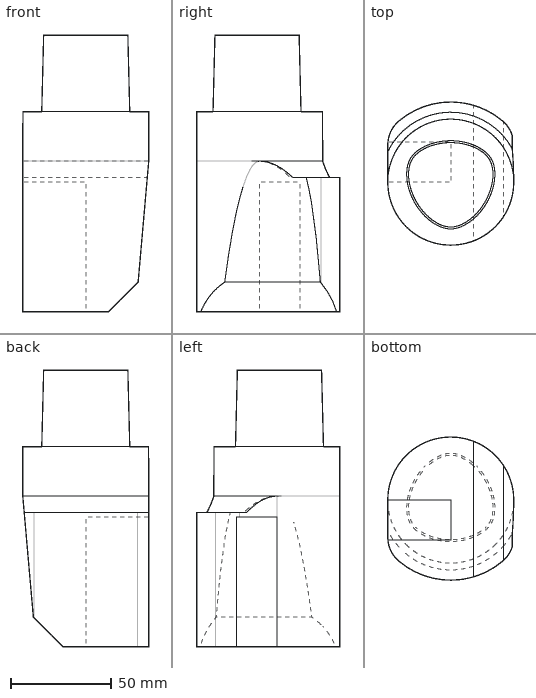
import cadquery as cq
import math

total_height = 138.0
collar_top = 99.9
collar_bottom = 75.2
rear_shoulder = 67.0

body_radius = 31.5
rear_radius = 40.0
corner_radius = body_radius / 2
shoulder_cone_radius = 34.9

slot_width = 20.0
slot_height = 64.9
slot_floor_x = 0.0

relief_angle = 5.0
relief_bottom = 14.9
bottom_relief_angle = 45.0

shank_base_diameter = 44.0
shank_taper = 1 / 20
lobe_offset = 1.31
shank_curve_points = 48


def body_prism(height):
    """Body outline extruded up from the bottom face."""
    corner_x = body_radius - corner_radius
    center_distance = rear_radius - corner_radius
    corner_y = math.sqrt(center_distance**2 - corner_x**2)
    tangent_angle = math.atan2(corner_y, corner_x)
    tangent_x = rear_radius * math.cos(tangent_angle)
    tangent_y = rear_radius * math.sin(tangent_angle)
    middle_x = corner_x + corner_radius * math.cos(tangent_angle / 2)
    middle_y = corner_y + corner_radius * math.sin(tangent_angle / 2)
    return (
        cq.Workplane("XY")
        .moveTo(-body_radius, 0)
        .threePointArc((0, -body_radius), (body_radius, 0))
        .lineTo(body_radius, corner_y)
        .threePointArc((middle_x, middle_y), (tangent_x, tangent_y))
        .threePointArc((0, rear_radius), (-tangent_x, tangent_y))
        .threePointArc((-middle_x, middle_y), (-body_radius, corner_y))
        .close()
        .extrude(height)
    )


def shoulder():
    """Conical step from the rear shoulder up to the collar, kept inside the body outline."""
    cone = (
        cq.Workplane("XY", origin=(0, 0, rear_shoulder))
        .circle(shoulder_cone_radius)
        .workplane(offset=collar_bottom - rear_shoulder)
        .circle(body_radius)
        .loft(ruled=True)
    )
    return cone.intersect(body_prism(collar_bottom))


def collar():
    return (
        cq.Workplane("XY", origin=(0, 0, collar_bottom))
        .circle(body_radius)
        .extrude(collar_top - collar_bottom)
    )


def lobed_points(diameter):
    """Curve of constant width with three lobes, one pointing to -Y."""
    points = []
    for index in range(shank_curve_points):
        angle = math.pi + 2 * math.pi * index / shank_curve_points
        reach = diameter / 2 - lobe_offset * math.cos(3 * angle)
        slope = 3 * lobe_offset * math.sin(3 * angle)
        x = reach * math.sin(angle) + slope * math.cos(angle)
        y = reach * math.cos(angle) - slope * math.sin(angle)
        points.append((x, y))
    return points


def shank():
    length = total_height - collar_top
    top_diameter = shank_base_diameter - shank_taper * length
    return (
        cq.Workplane("XY", origin=(0, 0, collar_top))
        .spline(lobed_points(shank_base_diameter), periodic=True)
        .close()
        .workplane(offset=length)
        .spline(lobed_points(top_diameter), periodic=True)
        .close()
        .loft(ruled=True)
    )


def side_relief():
    """Material removed by the two sloping planes on the +X side."""
    relief_height = collar_bottom - relief_bottom
    knee_x = body_radius - relief_height * math.tan(math.radians(relief_angle))
    bottom_x = knee_x - relief_bottom * math.tan(math.radians(bottom_relief_angle))
    outside_x = 2 * body_radius
    return (
        cq.Workplane("XZ")
        .polyline([
            (body_radius, collar_bottom),
            (knee_x, relief_bottom),
            (bottom_x, 0),
            (outside_x, 0),
            (outside_x, collar_bottom),
        ])
        .close()
        .extrude(2 * rear_radius, both=True)
    )


def tool_slot():
    slot_depth = slot_floor_x + body_radius
    return (
        cq.Workplane("XY", origin=(-body_radius, 0, 0))
        .box(slot_depth, slot_width, slot_height, centered=False)
    )


body = body_prism(rear_shoulder).union(shoulder())
body = body.cut(side_relief()).cut(tool_slot())
result = body.union(collar()).union(shank())